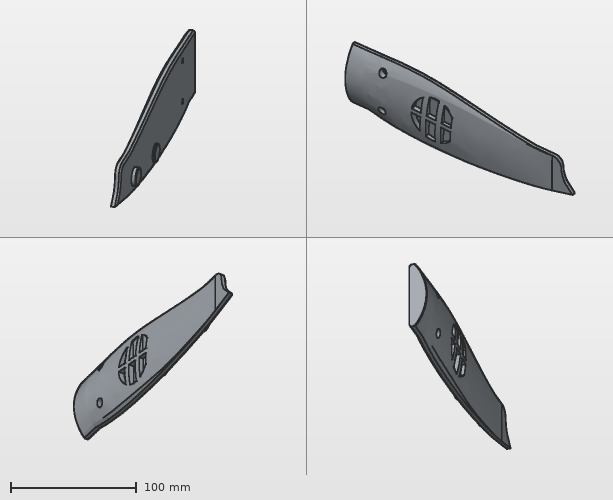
import cadquery as cq
import math


LENGTH = 221.65
CROWN_HEIGHT = 15.0
BAND = 4.8
ROOT_LENGTH = 17.0
CROWN_END = 201.0
INNER_CHAMFER = 1.6
ROOT_CHAMFER = 0.6

FACET_SLOPE = 0.58
LOWER_FACET_SLOPE = 0.95
FACET_BULGE = 0.6
RUN_OUT_RISE = 0.1
LEDGE = 8.0
OVERLAP = 1.0

STATIONS = [
    (ROOT_LENGTH, -24.2, 32.7, 11.0, 2.4),
    (44.0, -29.8, 32.965, 10.4, 2.6),
    (71.0, -32.3, 31.7, 8.7, 2.6),
    (97.4, -32.965, 27.8, 6.3, 1.9),
    (124.0, -32.4, 22.3, 3.9, 1.0),
    (151.0, -30.4, 16.7, 2.0, 0.5),
    (182.0, -26.7, 11.5, 0.4, 0.1),
    (CROWN_END, -23.2, 11.2, 0.05, 0.05),
]
ROOT_LOW = -24.0
ROOT_HIGH = 32.7

TIP_CORNER_Y = -201.5
TIP_CORNER_Z = 11.2
TIP_ROUND = 8.7
SCALLOP_MID = (-210.9, -2.6)
SCALLOP_END = (-214.0, -10.3)
TIP_POINT_Z = -18.6

SCREW_Y = -35.3
SCREW_Z = (22.5, -13.6)
SCREW_D = 4.2
SCREW_HEAD_D = 7.2
SCREW_SEAT = 6.0

GRILLE_Y = -86.0
GRILLE_Z = -2.0
GRILLE_R = 21.0
GRILLE_TILT = 6.0
COLUMN_WIDTH = 9.1
COLUMN_PITCH = 14.6
COLUMN_SHIFT = 2.0
CROSSBAR = 4.2
WINDOW_FLOOR = 7.2
FLOOR_TILT = 5.0

BOSS_D = 15.6
BOSS_CHAMFER = 0.8
BOSSES = [(-113.0, -22.0, 2.0), (-172.3, -14.6, 3.9)]


def crown_rise(distance):
    """Height of the crown above the edge wall, falling linearly along the part."""
    fraction = (CROWN_END - distance) / (CROWN_END - ROOT_LENGTH)
    return RUN_OUT_RISE + (CROWN_HEIGHT - BAND - RUN_OUT_RISE) * fraction


def crown_section(distance, low, high, facet, lower_facet):
    """Cross-section: upper facet, crowned arc, lower facet, and ledges running past both edges."""
    rise = crown_rise(distance)
    crease_rise = FACET_SLOPE * facet
    crease_z = high - facet
    lower_crease_rise = LOWER_FACET_SLOPE * lower_facet
    lower_crease_z = low + lower_facet
    upper_reach = math.sqrt(rise - crease_rise)
    lower_reach = math.sqrt(rise - lower_crease_rise)
    apex_z = crease_z - (crease_z - lower_crease_z) * upper_reach / (upper_reach + lower_reach)
    bulge = FACET_BULGE * rise / (CROWN_HEIGHT - BAND)
    facet_length = math.hypot(facet, crease_rise)
    facet_mid = (
        -BAND - crease_rise / 2 - bulge * facet / facet_length,
        high - facet / 2 + bulge * crease_rise / facet_length,
    )
    return (
        cq.Workplane("XZ", origin=(0, -distance, 0))
        .moveTo(0, high + LEDGE)
        .lineTo(-BAND, high + LEDGE)
        .lineTo(-BAND, high)
        .threePointArc(facet_mid, (-BAND - crease_rise, crease_z))
        .threePointArc((-BAND - rise, apex_z), (-BAND - lower_crease_rise, lower_crease_z))
        .lineTo(-BAND, low)
        .lineTo(-BAND, low - LEDGE)
        .lineTo(0, low - LEDGE)
        .close()
    )


def crown_envelope():
    """Root sleeve, tapering crown and flat tip, wider than the outline."""
    wires = [crown_section(*station).val() for station in STATIONS]
    taper = cq.Workplane(cq.Solid.makeLoft(wires))
    root = crown_section(*STATIONS[0]).extrude(-ROOT_LENGTH)
    end_low, end_high = STATIONS[-1][1:3]
    tip_low = end_low - LEDGE
    tip_high = end_high + LEDGE
    tip = (
        cq.Workplane("XY")
        .box(BAND, LENGTH - CROWN_END + OVERLAP, tip_high - tip_low, centered=False)
        .translate((-BAND, -LENGTH - OVERLAP, tip_low))
    )
    return root.union(taper).union(tip)


def outline_plate():
    """Full-height block with the part's outline, chamfered along its inner edge except at the root end."""
    upper = [(-distance, high) for distance, low, high, *facets in STATIONS[:-1]]
    lower = [(-distance, low) for distance, low, high, *facets in reversed(STATIONS)]
    round_mid = (
        TIP_CORNER_Y - TIP_ROUND * math.sin(math.pi / 4),
        TIP_CORNER_Z - TIP_ROUND * (1 - math.cos(math.pi / 4)),
    )
    round_end = (TIP_CORNER_Y - TIP_ROUND, TIP_CORNER_Z - TIP_ROUND)
    plate = (
        cq.Workplane("YZ")
        .moveTo(0, ROOT_HIGH)
        .lineTo(*upper[0])
        .spline(upper[1:], includeCurrent=True)
        .lineTo(TIP_CORNER_Y, TIP_CORNER_Z)
        .threePointArc(round_mid, round_end)
        .threePointArc(SCALLOP_MID, SCALLOP_END)
        .lineTo(-LENGTH, TIP_POINT_Z)
        .spline(lower, includeCurrent=True)
        .lineTo(0, ROOT_LOW)
        .close()
        .extrude(-CROWN_HEIGHT - OVERLAP)
    )
    inner_face_edges = plate.faces(">X").edges()
    outline_edges = inner_face_edges.filter(lambda edge: edge.Center().y < -OVERLAP)
    return outline_edges.chamfer(INNER_CHAMFER)


def screw_holes():
    """Cutters for the through holes and the recesses for the screw heads."""
    places = [(SCREW_Y, z) for z in SCREW_Z]
    shafts = cq.Workplane("YZ").pushPoints(places).circle(SCREW_D / 2).extrude(-CROWN_HEIGHT)
    heads = (
        cq.Workplane("YZ", origin=(-SCREW_SEAT, 0, 0))
        .pushPoints(places)
        .circle(SCREW_HEAD_D / 2)
        .extrude(-CROWN_HEIGHT)
    )
    return shafts.union(heads)


def grille_windows():
    """Cutters for two rows of three windows, bounded by a circle, down to a tilted floor."""
    row_height = 2 * GRILLE_R
    row_offset = (CROSSBAR + row_height) / 2
    centres = [
        (COLUMN_SHIFT + column * COLUMN_PITCH, row * row_offset)
        for column in (-1, 0, 1)
        for row in (-1, 1)
    ]
    disc = cq.Workplane("YZ").circle(GRILLE_R).extrude(-2 * CROWN_HEIGHT)
    bars = cq.Workplane("YZ").pushPoints(centres).rect(COLUMN_WIDTH, row_height).extrude(-2 * CROWN_HEIGHT)
    above_floor = (
        cq.Workplane("YZ")
        .rect(4 * GRILLE_R, 4 * GRILLE_R)
        .extrude(-2 * CROWN_HEIGHT)
        .rotate((0, 0, 0), (0, 1, 0), -FLOOR_TILT)
        .translate((-WINDOW_FLOOR, 0, 0))
    )
    return (
        disc.intersect(bars)
        .rotate((0, 0, 0), (1, 0, 0), GRILLE_TILT)
        .intersect(above_floor)
        .translate((0, GRILLE_Y, GRILLE_Z))
    )


def boss(y, z, height):
    """Round chamfered boss standing on the inner face."""
    return (
        cq.Workplane("YZ", origin=(-OVERLAP, y, z))
        .circle(BOSS_D / 2)
        .extrude(height + OVERLAP)
        .faces(">X")
        .chamfer(BOSS_CHAMFER)
    )


blade = outline_plate().intersect(crown_envelope())
root_end_edges = blade.faces(">Y").edges().filter(lambda edge: edge.Center().x < -BAND)
result = root_end_edges.chamfer(ROOT_CHAMFER)
result = result.cut(screw_holes()).cut(grille_windows())
for boss_place in BOSSES:
    result = result.union(boss(*boss_place))